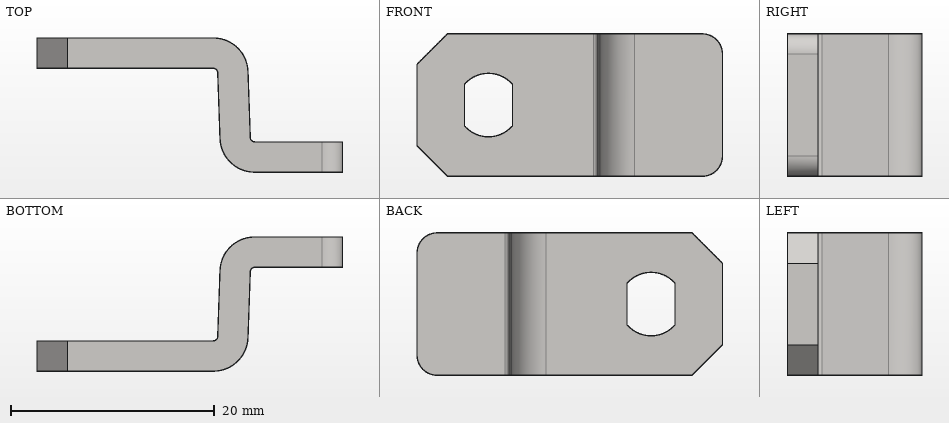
import cadquery as cq
import math

length = 30.0
depth = 13.2
height = 14.0
thickness = 3.0

inner_radius = 0.42
outer_radius = inner_radius + thickness
web_tilt = math.radians(2)
bend_start = 17.3

end_chamfer = 3.0
corner_radius = 2.0
hole_x = 7.02
hole_diameter = 6.2
hole_width = 4.68

rear_centre = (bend_start, depth - outer_radius)
tangent_offset = inner_radius + outer_radius
centre_drop = rear_centre[1] - outer_radius
web_length = (centre_drop + tangent_offset * math.sin(web_tilt)) / math.cos(web_tilt)
front_centre_x = (
    bend_start
    + tangent_offset * math.cos(web_tilt)
    + web_length * math.sin(web_tilt)
)
front_centre = (front_centre_x, outer_radius)


def on_circle(centre, radius, angle):
    return (centre[0] + radius * math.cos(angle), centre[1] + radius * math.sin(angle))


def make_strip():
    """Bent strip: an XY profile extruded over the full height."""
    rear_mid = (math.pi / 2 + web_tilt) / 2
    front_end = math.pi + web_tilt
    front_mid = (front_end + 3 * math.pi / 2) / 2
    return (
        cq.Workplane("XY")
        .moveTo(0, depth)
        .lineTo(bend_start, depth)
        .threePointArc(
            on_circle(rear_centre, outer_radius, rear_mid),
            on_circle(rear_centre, outer_radius, web_tilt),
        )
        .lineTo(*on_circle(front_centre, inner_radius, front_end))
        .threePointArc(
            on_circle(front_centre, inner_radius, front_mid),
            (front_centre_x, thickness),
        )
        .lineTo(length, thickness)
        .lineTo(length, 0)
        .lineTo(front_centre_x, 0)
        .threePointArc(
            on_circle(front_centre, outer_radius, front_mid),
            on_circle(front_centre, outer_radius, front_end),
        )
        .lineTo(*on_circle(rear_centre, inner_radius, web_tilt))
        .threePointArc(
            on_circle(rear_centre, inner_radius, rear_mid),
            (bend_start, depth - thickness),
        )
        .lineTo(0, depth - thickness)
        .close()
        .extrude(height)
    )


def make_hole():
    """Round hole with two upright flats, passing through the rear leg."""
    leg_face = cq.Workplane("XZ", origin=(hole_x, depth, height / 2))
    cylinder = leg_face.circle(hole_diameter / 2).extrude(thickness)
    flats = leg_face.rect(hole_width, hole_diameter).extrude(thickness)
    return cylinder.intersect(flats)


strip = make_strip()
strip = strip.edges("|Y and <X").chamfer(end_chamfer)
strip = strip.edges("|Y and >X").fillet(corner_radius)
result = strip.cut(make_hole())